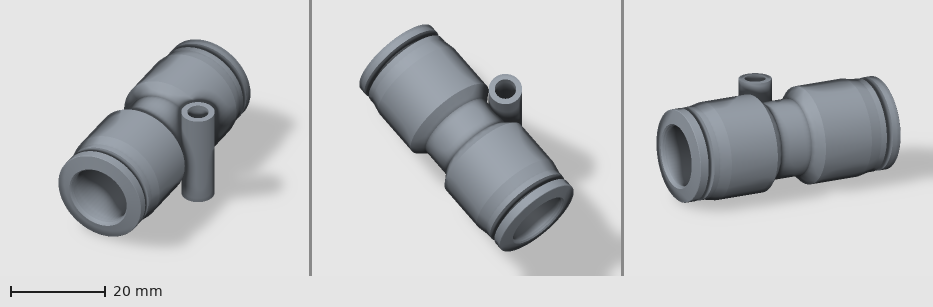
import cadquery as cq

half_length = 24.45
body_radius = 10.49
waist_radius = 8.25
rim_radius = 10.0
neck_radius = 7.2

waist_half_length = 3.5
shoulder_end = waist_half_length + body_radius - waist_radius
taper_start = 16.7
taper_end = 19.25
body_end = 20.75
collar_start = 22.0
collar_edge = half_length - 0.55
collar_edge_break = 0.1
end_bevel_length = 0.15
end_bevel_radius = 9.15

passage_radius = 5.0
socket_radius = 6.5
lip_step_radius = 6.65
lip_radius = 6.95
lip_chamfer = lip_radius - lip_step_radius
lip_step_depth = 0.85
socket_floor = shoulder_end

sleeve_radius = waist_half_length
sleeve_hole_radius = 2.25
sleeve_x = body_radius
sleeve_height = 2 * body_radius


def revolve_both_ends(half_profile):
    """Mirror (radius, y) points about the middle and revolve them about the Y axis."""
    mirrored = [(radius, -y) for radius, y in reversed(half_profile)]
    outline = cq.Workplane("XY").polyline(mirrored + half_profile).close()
    return outline.revolve(360, (0, 0, 0), (0, 1, 0))


def union_exterior():
    return revolve_both_ends([
        (waist_radius, waist_half_length),
        (body_radius, shoulder_end),
        (body_radius, taper_start),
        (rim_radius, taper_end),
        (rim_radius, body_end - end_bevel_length),
        (end_bevel_radius, body_end),
        (neck_radius, body_end),
        (neck_radius, collar_start),
        (rim_radius, collar_start),
        (rim_radius, collar_edge - collar_edge_break),
        (rim_radius - collar_edge_break, collar_edge),
        (lip_radius, half_length),
        (0, half_length),
    ])


def union_bore():
    passage = revolve_both_ends([
        (passage_radius, half_length),
        (0, half_length),
    ])
    socket_profile = [
        (0, socket_floor),
        (socket_radius, socket_floor),
        (socket_radius, half_length - lip_step_depth),
        (lip_step_radius, half_length - lip_chamfer),
        (lip_radius, half_length),
        (0, half_length),
    ]
    socket = cq.Workplane("XY").polyline(socket_profile).close().revolve(360, (0, 0, 0), (0, 1, 0))
    return passage.union(socket).union(socket.mirror("XZ"))


def sleeve_cylinder(radius):
    base = cq.Workplane("XY", origin=(0, 0, -sleeve_height / 2))
    return base.center(sleeve_x, 0).circle(radius).extrude(sleeve_height)


union_body = union_exterior().union(sleeve_cylinder(sleeve_radius))
result = union_body.cut(union_bore()).cut(sleeve_cylinder(sleeve_hole_radius))